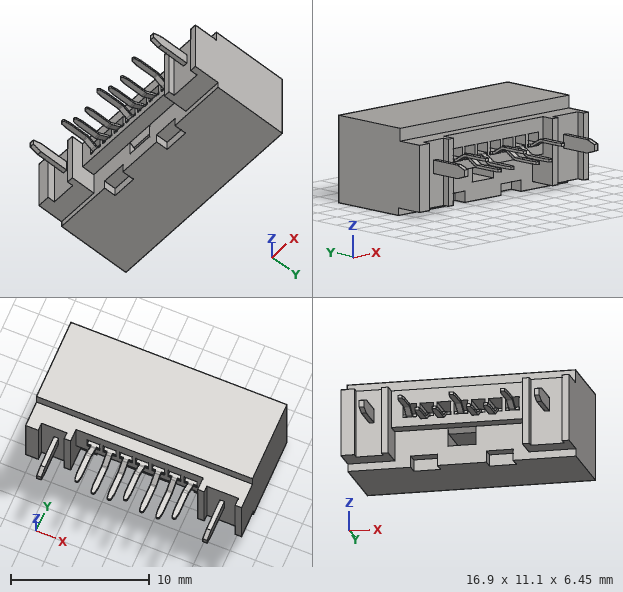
import cadquery as cq
import math

housing_length = 16.9
housing_height = 6.45
housing_back = 8.43
half_length = housing_length / 2

top_step_y = 2.03
top_step_z = 5.51
bottom_step_y = 2.2
bottom_step_z = 0.55

left_wall = 1.0
right_wall = 0.5
rib_thickness = 0.5
rib_tip_y = 0.12
middle_half_length = 4.97
side_recess_y = 0.6
middle_face_y = 1.12
overhang_z = 2.75

latch_width = 2.08
latch_floor_z = 1.4
latch_slope_drop = 0.35
latch_slope_depth = 0.35
notch_spacing = 5.61
notch_width = 1.98
notch_height = 0.85
notch_depth = 1.01

row_center_x = 0.19
contact_count = 7
contact_pitch = 1.27
raised_contacts = (0, 3, 6)
contact_center_z = 3.57
window_width = 1.0
window_top_z = 4.45
contact_thickness = 0.2
leaf_setback = 0.07
pin_width = 0.44
pin_nose_width = 0.3
pin_nose_length = 0.1
pin_tip_y = -2.08
pin_taper_length = 0.59
pin_root_length = 0.34
bend_radius = 0.27
bend_angle = math.radians(30)
bend_end_y = 0.12

blade_half_spacing = 6.49
blade_thickness = 0.35
blade_height = 1.0
blade_tip_height = 0.49
blade_tip_y = -2.62
blade_taper_length = 0.75
blade_center_z = 3.55


def box(x_range, y_range, z_range):
    """Block between the given pairs of limits."""
    limits = (x_range, y_range, z_range)
    size = [high - low for low, high in limits]
    corner = [low for low, high in limits]
    return cq.Workplane("XY").box(*size, centered=False).translate(tuple(corner))


def span(center, width):
    """Pair of limits around a centre."""
    return (center - width / 2, center + width / 2)


def make_shell():
    """Stepped block with the recesses of the mounting side."""
    outline = [
        (housing_back, 0),
        (bottom_step_y, 0),
        (bottom_step_y, bottom_step_z),
        (0, bottom_step_z),
        (0, top_step_z),
        (top_step_y, top_step_z),
        (top_step_y, housing_height),
        (housing_back, housing_height),
    ]
    block = cq.Workplane("YZ").polyline(outline).close().extrude(half_length, both=True)

    rib_outer = middle_half_length + rib_thickness
    full_z = (0, housing_height)
    left_recess = box((-half_length + left_wall, -rib_outer), (0, side_recess_y), full_z)
    right_recess = box((rib_outer, half_length - right_wall), (0, side_recess_y), full_z)
    middle_x = (-middle_half_length, middle_half_length)
    middle_recess = box(middle_x, (0, middle_face_y), full_z)
    overhang_gap = box(middle_x, (0, bottom_step_y), (0, overhang_z))
    rib_trim = box((-rib_outer, rib_outer), (0, rib_tip_y), full_z)
    for recess in (left_recess, right_recess, middle_recess, overhang_gap, rib_trim):
        block = block.cut(recess)
    return block


def make_latch_opening():
    """Opening through the housing, with a roof that slopes down from its mouth."""
    roof_z = overhang_z - latch_slope_drop
    outline = [
        (bottom_step_y, latch_floor_z),
        (housing_back, latch_floor_z),
        (housing_back, roof_z),
        (bottom_step_y + latch_slope_depth, roof_z),
        (bottom_step_y, overhang_z),
    ]
    return cq.Workplane("YZ").polyline(outline).close().extrude(latch_width / 2, both=True)


def make_notch(x):
    """Notch open at the underside and toward the pins."""
    depth_range = (bottom_step_y, bottom_step_y + notch_depth)
    return box(span(x, notch_width), depth_range, (0, notch_height))


def make_window(x):
    """Contact window through the housing, above the lower side of the contact leaf."""
    floor_z = contact_center_z - contact_thickness / 2
    return box(span(x, window_width), (middle_face_y, housing_back), (floor_z, window_top_z))


def make_leaf(x):
    """Flat part of a contact, lying on the floor of its window."""
    leaf_y = (middle_face_y + leaf_setback, housing_back)
    return box(span(x, window_width), leaf_y, span(contact_center_z, contact_thickness))


def make_pin(x, direction):
    """Pin bent up (direction 1) or down (-1) out of the leaf, with a tapered end and a round nose."""
    bend_y = bend_radius * math.sin(bend_angle)
    bend_z = bend_radius * (1 - math.cos(bend_angle))
    ramp_end_y = bend_end_y + bend_y
    ramp_start_y = middle_face_y - bend_y
    ramp_z = (ramp_start_y - ramp_end_y) * math.tan(bend_angle)
    root_y = middle_face_y + pin_root_length

    def point(y, rise):
        return (y, contact_center_z + direction * rise)

    path = (
        cq.Workplane("YZ", origin=(x, 0, 0))
        .moveTo(*point(root_y, 0))
        .lineTo(*point(middle_face_y, 0))
        .tangentArcPoint(point(ramp_start_y, bend_z), relative=False)
        .lineTo(*point(ramp_end_y, bend_z + ramp_z))
        .tangentArcPoint(point(bend_end_y, 2 * bend_z + ramp_z), relative=False)
        .lineTo(*point(pin_tip_y, 2 * bend_z + ramp_z))
    )
    strip = (
        cq.Workplane("XZ", origin=(x, root_y, contact_center_z))
        .rect(pin_width, contact_thickness)
        .sweep(path)
    )

    half_width = pin_width / 2
    half_nose = pin_nose_width / 2
    taper_y = pin_tip_y + pin_taper_length
    nose_y = pin_tip_y + pin_nose_length
    plan = (
        cq.Workplane("XY", origin=(x, 0, 0))
        .moveTo(-half_width, root_y)
        .lineTo(-half_width, taper_y)
        .lineTo(-half_nose, nose_y)
        .threePointArc((0, pin_tip_y), (half_nose, nose_y))
        .lineTo(half_width, taper_y)
        .lineTo(half_width, root_y)
        .close()
        .extrude(housing_height)
    )
    return strip.intersect(plan)


def make_blade(x):
    """Upright retention blade with a tapered tip."""
    taper_y = blade_tip_y + blade_taper_length
    half_height = blade_height / 2
    half_tip = blade_tip_height / 2
    outline = [
        (side_recess_y, -half_height),
        (taper_y, -half_height),
        (blade_tip_y, -half_tip),
        (blade_tip_y, half_tip),
        (taper_y, half_height),
        (side_recess_y, half_height),
    ]
    return (
        cq.Workplane("YZ", origin=(x, 0, blade_center_z))
        .polyline(outline)
        .close()
        .extrude(blade_thickness / 2, both=True)
    )


result = make_shell().cut(make_latch_opening())
for side in (-1, 1):
    result = result.cut(make_notch(side * notch_spacing / 2))

for index in range(contact_count):
    contact_x = row_center_x + (index - (contact_count - 1) / 2) * contact_pitch
    bend_direction = 1 if index in raised_contacts else -1
    result = result.cut(make_window(contact_x))
    result = result.union(make_leaf(contact_x)).union(make_pin(contact_x, bend_direction))

for side in (-1, 1):
    result = result.union(make_blade(row_center_x + side * blade_half_spacing))